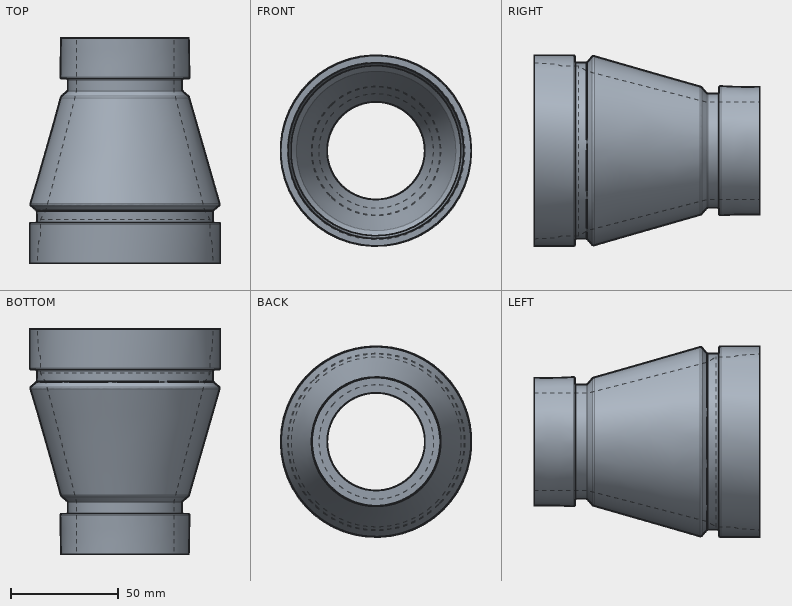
import cadquery as cq
LENGTH = 104.9
LARGE_END_DIA = 88.9
SMALL_TIP_DIA = 59.6
SMALL_LAND_DIA = 60.3
LAND_WIDTH = 19.0
GROOVE_END = 24.5
SHOULDER_WIDTH = 2.7
LARGE_GROOVE_DIA = 82.1
SMALL_GROOVE_DIA = 53.3
LARGE_CONE_DIA = 88.5
SMALL_CONE_DIA = 59.6

LAND_FILLET = 0.8
GROOVE_FILLET = 0.6
LARGE_SHOULDER_FILLET = 1.0
SMALL_SHOULDER_FILLET = 1.9
TOLERANCE = 0.01

MOUTH_DIA = 81.8
MOUTH_DEPTH = 9.9
STEP_START_DIA = 80.8
STEP_END_DIA = 79.1
STEP_DEPTH = 12.6
SEAT_DEPTH = 20.5
CONE_BORE_DIA = 74.2
SMALL_BORE_DIA = 45.3


def round_ring(body, dia, y, fillet):
    """Round the circular edge of the given diameter at position y along the axis."""

    def is_ring(edge):
        on_plane = abs(edge.Center().y - y) < TOLERANCE
        return on_plane and edge.geomType() == "CIRCLE" and abs(edge.radius() - dia / 2) < TOLERANCE

    return body.edges().filter(is_ring).fillet(fillet)


def outer_body():
    shoulder = GROOVE_END + SHOULDER_WIDTH
    profile = [
        (0, 0),
        (LARGE_END_DIA / 2, 0),
        (LARGE_END_DIA / 2, LAND_WIDTH),
        (LARGE_GROOVE_DIA / 2, LAND_WIDTH),
        (LARGE_GROOVE_DIA / 2, GROOVE_END),
        (LARGE_CONE_DIA / 2, shoulder),
        (SMALL_CONE_DIA / 2, LENGTH - shoulder),
        (SMALL_GROOVE_DIA / 2, LENGTH - GROOVE_END),
        (SMALL_GROOVE_DIA / 2, LENGTH - LAND_WIDTH),
        (SMALL_LAND_DIA / 2, LENGTH - LAND_WIDTH),
        (SMALL_TIP_DIA / 2, LENGTH),
        (0, LENGTH),
    ]
    body = cq.Workplane("XY").polyline(profile).close().revolve(360, (0, 0), (0, 1))
    ends = [
        (LARGE_END_DIA, LARGE_GROOVE_DIA, LAND_WIDTH, GROOVE_END),
        (SMALL_LAND_DIA, SMALL_GROOVE_DIA, LENGTH - LAND_WIDTH, LENGTH - GROOVE_END),
    ]
    for land_dia, groove_dia, land_y, groove_end_y in ends:
        body = round_ring(body, land_dia, land_y, LAND_FILLET)
        body = round_ring(body, groove_dia, land_y, GROOVE_FILLET)
        body = round_ring(body, groove_dia, groove_end_y, GROOVE_FILLET)
    body = round_ring(body, LARGE_CONE_DIA, shoulder, LARGE_SHOULDER_FILLET)
    body = round_ring(body, SMALL_CONE_DIA, LENGTH - shoulder, SMALL_SHOULDER_FILLET)
    return body


def bore():
    profile = [
        (0, 0),
        (MOUTH_DIA / 2, 0),
        (STEP_START_DIA / 2, MOUTH_DEPTH),
        (STEP_END_DIA / 2, STEP_DEPTH),
        (STEP_END_DIA / 2, SEAT_DEPTH),
        (CONE_BORE_DIA / 2, GROOVE_END),
        (SMALL_BORE_DIA / 2, LENGTH - GROOVE_END),
        (SMALL_BORE_DIA / 2, LENGTH),
        (0, LENGTH),
    ]
    return cq.Workplane("XY").polyline(profile).close().revolve(360, (0, 0), (0, 1))


result = outer_body().cut(bore())